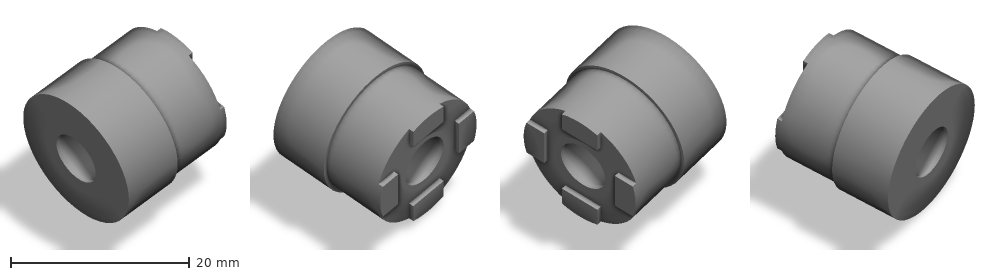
import cadquery as cq

collar_diameter = 17.02
collar_length = 7.62
body_diameter = 16.05
total_length = 15.75
bore_diameter = 6.35
tooth_width = 5.07
tooth_height = 0.63
tooth_gap = 2 * tooth_width

shoulder_length = total_length - tooth_height


def cylinder_along_y(diameter, length):
    """Cylinder starting at Y = 0 and running toward +Y."""
    return cq.Workplane("XZ").circle(diameter / 2).extrude(-length)


def tooth_bar(size_x, size_z):
    """Rectangular bar spanning the tooth height at the +Y end."""
    return (
        cq.Workplane("XZ", origin=(0, shoulder_length, 0))
        .rect(size_x, size_z)
        .extrude(-tooth_height)
    )


def end_teeth():
    """Four parallel-sided teeth at +X, -X, +Z and -Z with rounded outer faces."""
    cross = tooth_bar(collar_diameter, tooth_width).union(tooth_bar(tooth_width, collar_diameter))
    teeth = cross.cut(tooth_bar(tooth_gap, tooth_gap))
    return teeth.intersect(cylinder_along_y(body_diameter, total_length))


result = cylinder_along_y(collar_diameter, collar_length)
result = result.union(cylinder_along_y(body_diameter, shoulder_length))
result = result.union(end_teeth())
result = result.cut(cylinder_along_y(bore_diameter, total_length))